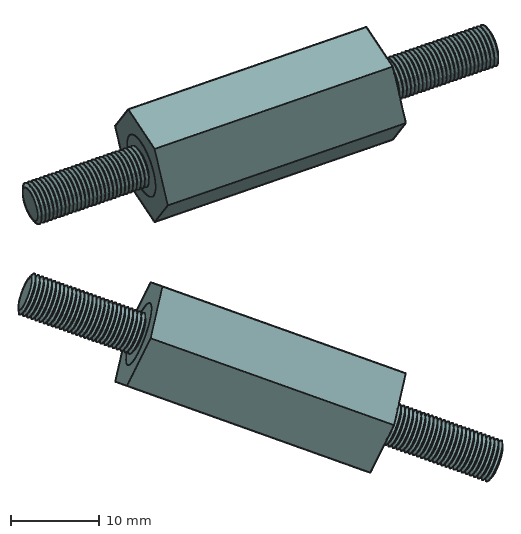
import cadquery as cq
import math


overall_length = 58.0
spacer_length = 30.0
across_flats = 12.0
insert_diameter = 7.5
insert_depth = 5.8
crest_diameter = 5.0
root_diameter = 4.0
ridge_count = 28

across_corners = across_flats / math.cos(math.radians(30))
spacer_end = spacer_length / 2
insert_bottom = spacer_end - insert_depth
insert_radius = insert_diameter / 2
stud_end = overall_length / 2
pitch = (stud_end - spacer_end) / ridge_count
crest_radius = crest_diameter / 2
root_radius = root_diameter / 2


def make_spacer():
    """Hexagonal bar, flats up and down, with a blind round socket in each end."""
    bar = cq.Workplane("XZ").polygon(6, across_corners).extrude(spacer_end, both=True)
    near_socket = cq.Workplane("XZ", origin=(0, -insert_bottom, 0)).circle(insert_radius).extrude(insert_depth)
    far_socket = near_socket.mirror("XZ")
    return bar.cut(near_socket).cut(far_socket)


def make_stud(side):
    """Stud at the +Y end (side = 1) or the -Y end (side = -1): plain insert, then ringed thread."""
    outline = [
        (0, side * insert_bottom),
        (insert_radius, side * insert_bottom),
        (insert_radius, side * spacer_end),
        (root_radius, side * spacer_end),
    ]
    for ridge in range(ridge_count):
        ridge_start = spacer_end + ridge * pitch
        outline.append((crest_radius, side * (ridge_start + pitch / 2)))
        outline.append((root_radius, side * (ridge_start + pitch)))
    outline.append((0, side * stud_end))
    return cq.Workplane("XY").polyline(outline).close().revolve(360, (0, 0), (0, 1))


spacer = make_spacer()
studs = [make_stud(side) for side in (-1, 1)]

result = cq.Compound.makeCompound([spacer.val(), *[stud.val() for stud in studs]])